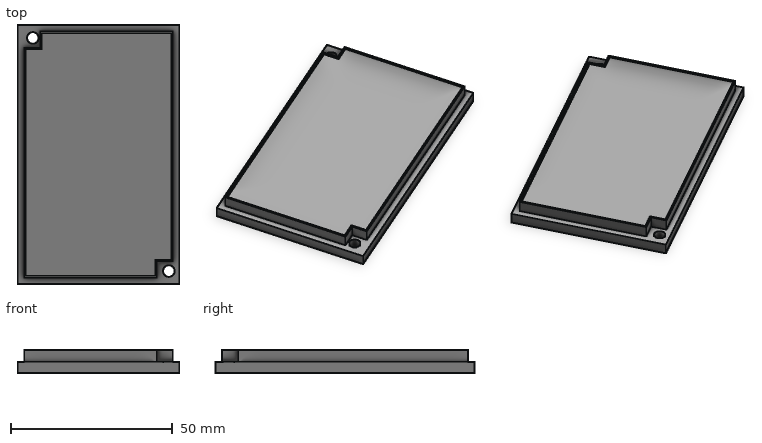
import cadquery as cq

width = 50.0
length = 80.0
total_height = 7.2
base_thickness = 3.5

block_inset = 2.0
notch_size = 5.0
block_height = total_height - base_thickness

rim_width = 0.5
recess_depth = 0.25

hole_diameter = 3.5
hole_end_offset = 4.0
left_hole_side_offset = 4.7
right_hole_side_offset = 3.3


def notched_outline(inset, base_z):
    """Rectangle set in from the plate edges, notched at back left and front right."""
    x = width / 2 - inset
    y = length / 2 - inset
    points = [
        (-x, -y),
        (x - notch_size, -y),
        (x - notch_size, -y + notch_size),
        (x, -y + notch_size),
        (x, y),
        (-x + notch_size, y),
        (-x + notch_size, y - notch_size),
        (-x, y - notch_size),
    ]
    return cq.Workplane("XY").workplane(offset=base_z).polyline(points).close()


def mounting_holes():
    hole_y = length / 2 - hole_end_offset
    centers = [
        (-width / 2 + left_hole_side_offset, hole_y),
        (width / 2 - right_hole_side_offset, -hole_y),
    ]
    return cq.Workplane("XY").pushPoints(centers).circle(hole_diameter / 2).extrude(base_thickness)


base = cq.Workplane("XY").box(width, length, base_thickness, centered=(True, True, False))
block = notched_outline(block_inset, base_thickness).extrude(block_height)
recess = notched_outline(block_inset + rim_width, total_height - recess_depth).extrude(recess_depth)

result = base.cut(mounting_holes()).union(block).cut(recess)